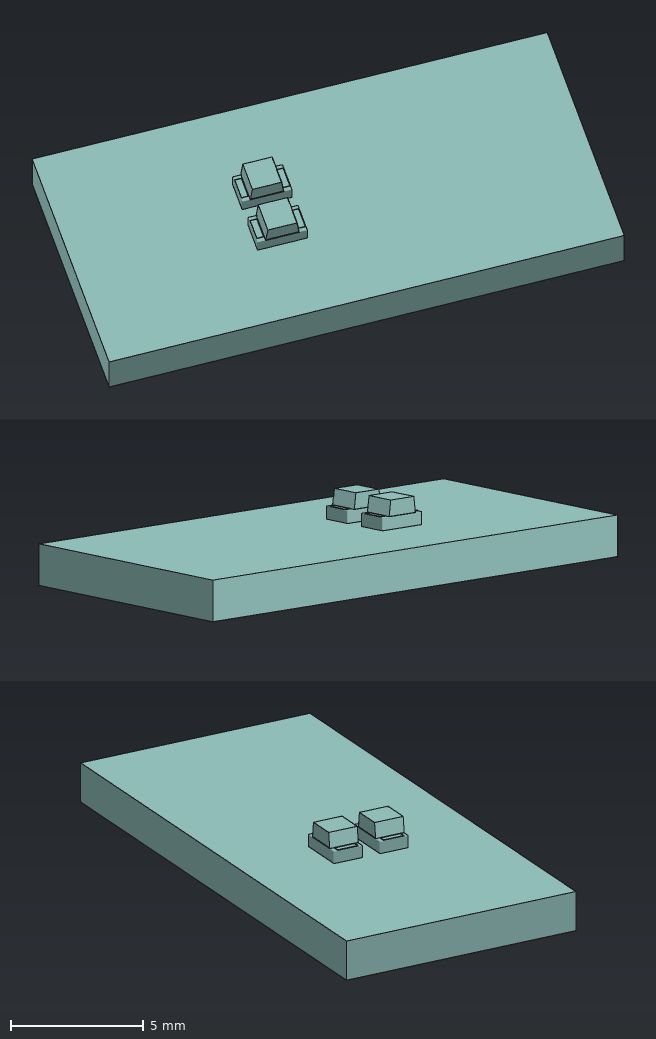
import cadquery as cq

board_width = 10.0
board_length = 20.4
board_thickness = 1.61

led_width = 1.25
led_length = 1.98
led_height = 1.15
base_height = 0.5
base_rounding = 0.03
lens_foot_length = 1.33
lens_top_length = 1.16

terminal_width = 0.88
terminal_length = 0.27
terminal_rise = 0.02

led_pitch = 2.0
led_center_y = -2.3


def make_board():
    return cq.Workplane("XY").box(
        board_width, board_length, board_thickness, centered=(True, True, False)
    )


def make_led_base():
    base = cq.Workplane("XY").box(led_width, led_length, base_height, centered=(True, True, False))
    return base.edges().fillet(base_rounding)


def make_lens():
    """Trapezoid in the YZ plane, extruded across the full width of the LED."""
    return (
        cq.Workplane("YZ", origin=(-led_width / 2, 0, 0))
        .moveTo(-lens_foot_length / 2, base_height)
        .lineTo(lens_foot_length / 2, base_height)
        .lineTo(lens_top_length / 2, led_height)
        .lineTo(-lens_top_length / 2, led_height)
        .close()
        .extrude(led_width)
    )


def make_terminals():
    """Two strips that start where the rounding of the base ends."""
    terminal_y = (led_length - terminal_length) / 2 - base_rounding
    return (
        cq.Workplane("XY", origin=(0, 0, base_height))
        .pushPoints([(0, side * terminal_y) for side in (-1, 1)])
        .box(terminal_width, terminal_length, terminal_rise, centered=(True, True, False))
    )


def make_led(center_x):
    led = make_led_base().union(make_lens()).union(make_terminals())
    return led.translate((center_x, led_center_y, board_thickness))


board = make_board()
leds = [make_led(side * led_pitch / 2) for side in (-1, 1)]

result = cq.Compound.makeCompound([board.val(), *[led.solids().val() for led in leds]])